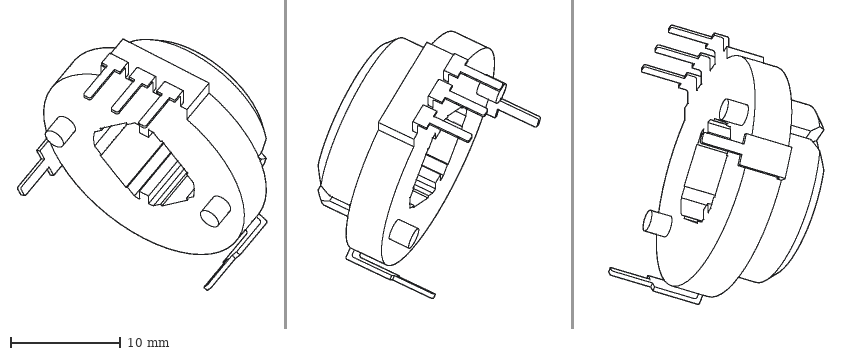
import cadquery as cq
import math


overall_height = 24.27

disc_radius = 11.0
disc_depth = 3.7
block_width = 9.42
block_top = 11.4

bush_radius = 8.5
bush_length = 5.0
bush_chamfer = 1.0
back_y = disc_depth + bush_length

core_radius = 6.0
notch_depth = 4.0
notch_slot_width = 1.02
notch_mouth_width = 4.93
notch_taper_depth = (notch_mouth_width - notch_slot_width) / 2

bore_radius = 5.5
flat_angle = 45
flat_distance = 4.56
recess_distance = 4.78
recess_length = 3.98
key_width = 1.0
key_tip_radius = 4.35

peg_radius = 1.0
peg_offset = 8.5
peg_length = 2.01

terminal_tip_y = -5.0
shoulder_y = -0.95
bend_outer_radius = 0.2
bend_inner_radius = 0.25
pin_tip_radius = 0.2

contact_pitch = 3.0
contact_width = 2.0
contact_pin_width = 0.8
contact_top = overall_height - disc_radius
contact_leg_thickness = 0.5
contact_pin_thickness = 0.3

lug_angle = 120
lug_radius = 12.0
lug_width = 3.0
lug_pin_width = 1.0
lug_thickness = 0.44

embed = 0.49


def y_cylinder(radius, y_start, y_end, x=0):
    """Solid cylinder along Y between two Y positions."""
    sketch = cq.Workplane("XZ", origin=(0, y_start, 0)).center(x, 0)
    return sketch.circle(radius).extrude(y_start - y_end)


def box_between(x_range, y_range, z_range):
    """Axis-aligned box given by its limits along X, Y and Z."""
    ranges = (x_range, y_range, z_range)
    sizes = [high - low for low, high in ranges]
    corner = tuple(low for low, high in ranges)
    return cq.Workplane("XY").box(*sizes, centered=False).translate(corner)


def body():
    disc = y_cylinder(disc_radius, 0, disc_depth)
    block = box_between((-block_width / 2, block_width / 2), (0, disc_depth), (0, block_top))
    bush = y_cylinder(bush_radius, disc_depth, back_y).faces(">Y").chamfer(bush_chamfer)
    return disc.union(block).union(bush)


def notches():
    """Y-shaped cutter across the bush, leaving the round core standing."""
    half_slot = notch_slot_width / 2
    half_mouth = notch_mouth_width / 2
    floor_y = back_y - notch_depth
    taper_y = back_y - notch_taper_depth
    outline = [
        (floor_y, -half_slot),
        (taper_y, -half_slot),
        (back_y, -half_mouth),
        (back_y, half_mouth),
        (taper_y, half_slot),
        (floor_y, half_slot),
    ]
    cutter = cq.Workplane("YZ").polyline(outline).close().extrude(bush_radius, both=True)
    return cutter.cut(y_cylinder(core_radius, 0, back_y))


def bore():
    """Cutter for the through opening, with the two keys left out of it."""
    centre_y = back_y / 2
    opening = cq.Workplane("XY").box(2 * flat_distance, back_y, 2 * flat_distance)
    recess_pair = cq.Workplane("XY").box(recess_length, back_y, 2 * recess_distance)
    for turn in (0, 90):
        opening = opening.union(recess_pair.rotate((0, 0, 0), (0, 1, 0), turn))
    opening = opening.rotate((0, 0, 0), (0, 1, 0), flat_angle).translate((0, centre_y, 0))
    opening = opening.intersect(y_cylinder(bore_radius, 0, back_y))
    key_height = bore_radius - key_tip_radius
    for side in (-1, 1):
        key = cq.Workplane("XY").box(key_width, back_y, key_height)
        opening = opening.cut(key.translate((0, centre_y, side * (bore_radius + key_tip_radius) / 2)))
    return opening


def terminal(width, pin_width, root, top, back, leg_thickness, pin_thickness):
    """Sheet terminal rising along Z to the bend, then running toward -Y and narrowing to a pin."""
    inner_y = back - leg_thickness
    inner_z = top - pin_thickness
    profile = [
        (back, root),
        (back, top),
        (terminal_tip_y, top),
        (terminal_tip_y, inner_z),
        (inner_y, inner_z),
        (inner_y, root),
    ]
    strip = cq.Workplane("YZ").polyline(profile).close().extrude(width / 2, both=True)
    strip = strip.edges(cq.selectors.NearestToPointSelector((0, back, top))).fillet(bend_outer_radius)
    strip = strip.edges(cq.selectors.NearestToPointSelector((0, inner_y, inner_z))).fillet(bend_inner_radius)

    shoulder_width = (width - pin_width) / 2
    for side in (-1, 1):
        trim = cq.Workplane("XY").box(shoulder_width, shoulder_y - terminal_tip_y, 2 * pin_thickness)
        trim_x = side * (pin_width + shoulder_width) / 2
        strip = strip.cut(trim.translate((trim_x, (shoulder_y + terminal_tip_y) / 2, top)))
    return strip.faces("<Y").edges("|Z").fillet(pin_tip_radius)


def contacts():
    contact = terminal(
        contact_width,
        contact_pin_width,
        block_top - embed,
        contact_top,
        contact_leg_thickness,
        contact_leg_thickness,
        contact_pin_thickness,
    )
    return [contact.translate((step * contact_pitch, 0, 0)) for step in (-1, 0, 1)]


def lugs():
    rim_height = math.sqrt(disc_radius**2 - (lug_width / 2) ** 2)
    lug = terminal(
        lug_width,
        lug_pin_width,
        rim_height - embed,
        lug_radius,
        disc_depth,
        lug_thickness,
        lug_thickness,
    )
    return [lug.rotate((0, 0, 0), (0, 1, 0), side * lug_angle) for side in (-1, 1)]


def pegs():
    return [y_cylinder(peg_radius, -peg_length, embed, side * peg_offset) for side in (-1, 1)]


result = body().cut(notches()).cut(bore())
for attachment in pegs() + contacts() + lugs():
    result = result.union(attachment)